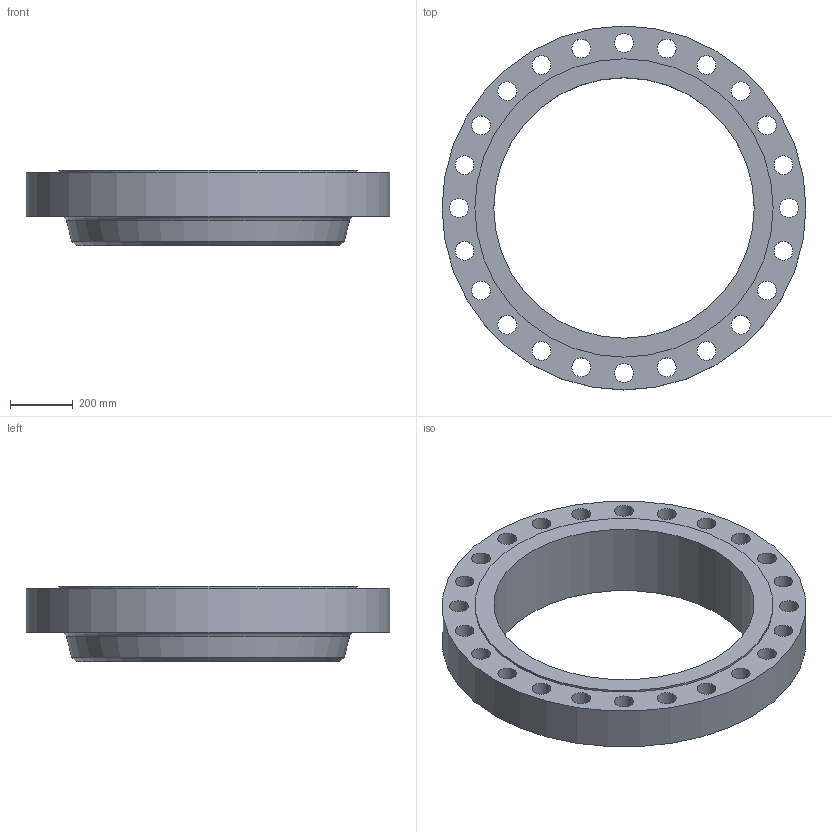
import cadquery as cq
import math

flange_diameter = 1162.05
flange_thickness = 139.7
raised_face_diameter = 952.5
raised_face_height = 6.35
bore_diameter = 831.85
overall_height = 239.71

hub_base_diameter = 911.0
hub_taper_angle = 14.0
hub_fillet_radius = 19.05

root_face_width = 4.0
bevel_height = 13.6

bolt_count = 24
bolt_circle_diameter = 1054.1
bolt_hole_diameter = 60.325

flange_bottom_z = overall_height - raised_face_height - flange_thickness
flange_top_z = overall_height - raised_face_height

bore_radius = bore_diameter / 2
weld_end_radius = bore_radius + root_face_width
hub_base_radius = hub_base_diameter / 2
hub_taper_run = (flange_bottom_z - bevel_height) * math.tan(math.radians(hub_taper_angle))
bevel_outer_radius = hub_base_radius - hub_taper_run

fillet_half_angle = math.radians((90 + hub_taper_angle) / 2)
fillet_setback = hub_fillet_radius / math.tan(fillet_half_angle)
fillet_outer_radius = hub_base_radius + fillet_setback


def hub_fillet_point(angle):
    """Point on the fillet arc, at an angle in degrees up from the direction towards the axis."""
    centre_z = flange_bottom_z - hub_fillet_radius
    x = fillet_outer_radius - hub_fillet_radius * math.cos(math.radians(angle))
    z = centre_z + hub_fillet_radius * math.sin(math.radians(angle))
    return x, z


def make_body():
    """Revolve the half section of the flange, raised face and hub about the Z axis."""
    fillet_middle_angle = (90 + hub_taper_angle) / 2
    section = (
        cq.Workplane("XZ")
        .moveTo(bore_radius, 0)
        .lineTo(weld_end_radius, 0)
        .lineTo(bevel_outer_radius, bevel_height)
        .lineTo(*hub_fillet_point(hub_taper_angle))
        .threePointArc(hub_fillet_point(fillet_middle_angle), hub_fillet_point(90))
        .lineTo(flange_diameter / 2, flange_bottom_z)
        .lineTo(flange_diameter / 2, flange_top_z)
        .lineTo(raised_face_diameter / 2, flange_top_z)
        .lineTo(raised_face_diameter / 2, overall_height)
        .lineTo(bore_radius, overall_height)
        .close()
    )
    return section.revolve(360, (0, 0, 0), (0, 1, 0))


def make_bolt_holes():
    """Cylinders through the flange plate, evenly spaced with the first one on the +X axis."""
    return (
        cq.Workplane("XY")
        .workplane(offset=flange_bottom_z)
        .polarArray(bolt_circle_diameter / 2, 0, 360, bolt_count)
        .circle(bolt_hole_diameter / 2)
        .extrude(flange_thickness)
    )


result = make_body().cut(make_bolt_holes())